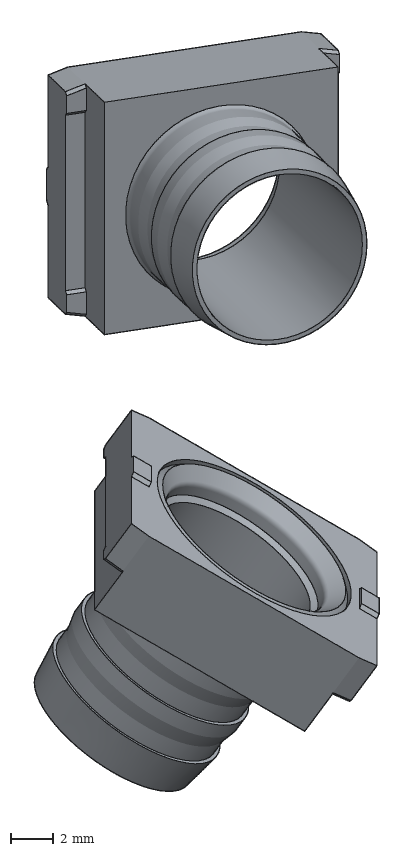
import cadquery as cq
import math


block_side = 11.9
block_depth = 4.71

overall_width = 13.9
ear_slope_drop = 0.25
ear_web_depth = 2.24
ear_lip_height = 0.15
ear_recess_half = 4.64

nub_height = 0.2
nub_half_base = 0.99

flange_radius = 5.49
flange_chamfer = 0.3
barb_radius = 4.74
neck_radius = 4.55
tip_radius = 4.45
root_end = 5.0
root_fillet = 0.39
barb_1_end = 6.02
neck_1_start = 6.73
barb_2_start = 7.69
barb_2_end = 8.49
neck_2_start = 9.26
tip_start = 10.16
tube_end = 12.2

counterbore_radius = 4.49
counterbore_end = 1.35
bore_radius = 4.21
bore_start = 1.58
mouth_fillet = 0.35

half_side = block_side / 2
ear_width = (overall_width - block_side) / 2
ear_depth = ear_web_depth + ear_lip_height
mouth_radius = flange_radius - flange_chamfer
arc_fall = 1 - math.cos(math.radians(45))
arc_run = math.sin(math.radians(45))
half_arc_fall = 1 - math.cos(math.radians(22.5))
half_arc_run = math.sin(math.radians(22.5))

seat_small_x = root_end - arc_run * root_fillet
seat_small_radius = barb_radius + arc_fall * root_fillet
seat_large_x = seat_small_x - (flange_radius - seat_small_radius)
mouth_cone_radius = counterbore_radius + arc_fall * mouth_fillet
mouth_cone_end = mouth_radius - mouth_cone_radius
counterbore_start = mouth_cone_end + arc_run * mouth_fillet


def revolve_about_x(profile):
    """Revolve a closed (x, radius) profile drawn in the XY plane around the X axis."""
    return profile.close().revolve(360, (0, 0, 0), (1, 0, 0))


def make_ear():
    """Ear on the +Y side, sloped at top and bottom, with two lips on its back."""
    edge = half_side - ear_slope_drop
    outer_y = half_side + ear_width
    ear = (
        cq.Workplane("YZ")
        .polyline([(half_side, -half_side), (outer_y, -edge), (outer_y, edge), (half_side, half_side)])
        .close()
        .extrude(ear_depth)
    )
    ear = ear.faces(">X").edges("<Z or >Z").chamfer(ear_lip_height)
    floor_half = ear_recess_half - ear_lip_height
    recess = (
        cq.Workplane("XZ", origin=(0, outer_y, 0))
        .polyline([
            (ear_depth, -ear_recess_half),
            (ear_web_depth, -floor_half),
            (ear_web_depth, floor_half),
            (ear_depth, ear_recess_half),
        ])
        .close()
        .extrude(ear_width)
    )
    return ear.cut(recess)


def make_nub():
    """Nub on the front of the +Y ear, with sloped ends."""
    half_top = nub_half_base - nub_height
    return (
        cq.Workplane("XZ", origin=(0, half_side + ear_width, 0))
        .polyline([
            (0, -nub_half_base),
            (-nub_height, -half_top),
            (-nub_height, half_top),
            (0, nub_half_base),
        ])
        .close()
        .extrude(ear_width)
    )


def make_seat():
    """Opening through the block that holds the tube, ending in a conical seat that runs out at the back."""
    profile = (
        cq.Workplane("XY")
        .moveTo(0, 0)
        .lineTo(0, flange_radius)
        .lineTo(seat_large_x, flange_radius)
        .lineTo(seat_small_x, seat_small_radius)
        .lineTo(seat_small_x, 0)
    )
    return revolve_about_x(profile)


def make_block():
    """Square block with its ears, nubs and tube seat."""
    block = cq.Workplane("XY").box(block_depth, block_side, block_side, centered=(False, True, True))
    for feature in (make_ear(), make_nub()):
        block = block.union(feature).union(feature.mirror("XZ"))
    return block.cut(make_seat())


def make_tube():
    """Barbed tube with a flared mouth, seated in the block."""
    profile = (
        cq.Workplane("XY")
        .moveTo(0, mouth_radius)
        .lineTo(flange_chamfer, flange_radius)
        .lineTo(seat_large_x, flange_radius)
        .lineTo(seat_small_x, seat_small_radius)
        .threePointArc(
            (root_end - half_arc_run * root_fillet, barb_radius + half_arc_fall * root_fillet),
            (root_end, barb_radius),
        )
        .lineTo(barb_1_end, barb_radius)
        .lineTo(neck_1_start, neck_radius)
        .lineTo(barb_2_start, neck_radius)
        .lineTo(barb_2_start, barb_radius)
        .lineTo(barb_2_end, barb_radius)
        .lineTo(neck_2_start, neck_radius)
        .lineTo(tip_start, neck_radius)
        .lineTo(tip_start, barb_radius)
        .lineTo(tube_end, tip_radius)
        .lineTo(tube_end, bore_radius)
        .lineTo(bore_start, bore_radius)
        .lineTo(counterbore_end, counterbore_radius)
        .lineTo(counterbore_start, counterbore_radius)
        .threePointArc(
            (
                counterbore_start - half_arc_run * mouth_fillet,
                counterbore_radius + half_arc_fall * mouth_fillet,
            ),
            (mouth_cone_end, mouth_cone_radius),
        )
    )
    return revolve_about_x(profile)


block = make_block()
tube = make_tube()

result = cq.Compound.makeCompound([block.solids().val(), tube.val()])